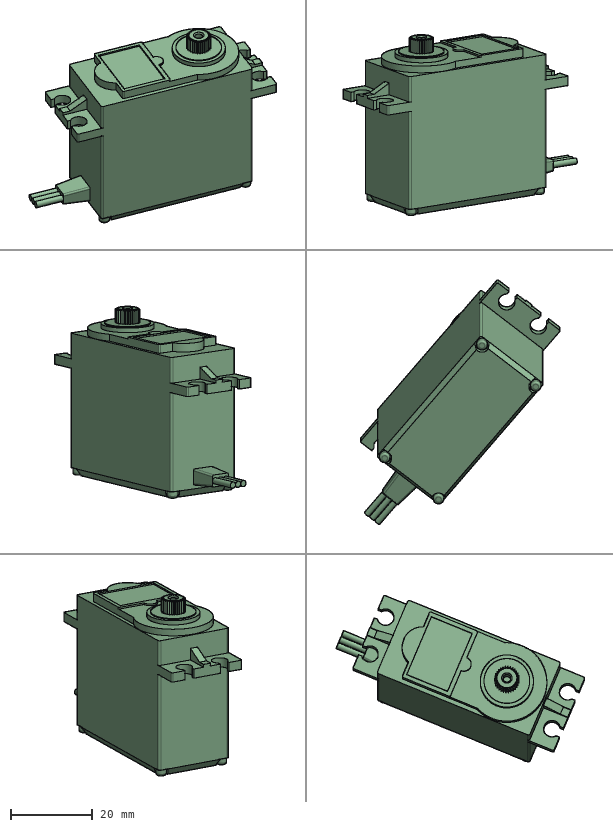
import cadquery as cq
import math

case_bottom = 1.75
case_top = 35.25
cover_top = 36.95
panel_top = 37.4
boss_top = 38.05
collar_top = 38.3
shaft_top = 41.8

case_width = 19.8
case_length = 40.45
case_corner_radius = 0.55

ear_span = 53.25
ear_bottom = 26.5
ear_top = 28.9
ear_corner_radius = 0.35
mount_hole_diameter = 4.1
mount_hole_pitch = 10.0
mount_hole_span = 48.3
mount_slot_width = 2.5
rib_width = 2.0
rib_flat_top = 29.6
rib_peak = 31.85
rib_flat_length = 1.95

output_y = 10.1
cover_radius = 9.8
cover_width = 17.7
panel_front = -14.05
panel_back = -1.3
panel_corner_radius = 0.35
panel_tab_radius = 1.75
motor_radius = 5.05
motor_y = -12.2
window_width = 15.6
window_length = 10.8
window_y = -7.8
window_depth = 0.35

boss_diameter = 13.0
collar_diameter = 11.2
spline_diameter = 6.0
spline_root_diameter = 4.85
tooth_count = 30
spline_chamfer_height = 0.3
screw_hole_diameter = 1.9
screw_hole_mouth = 2.55
screw_hole_depth = 3.05

plate_inset = 1.05
screw_clearance_diameter = 3.4
screw_head_diameter = 2.6
screw_head_round = 0.6
screw_pitch_x = 16.95
screw_pitch_y = 37.7

cable_z = 4.7
boot_root_width = 6.0
boot_root_height = 4.1
boot_tip_width = 4.9
boot_tip_height = 3.0
boot_length = 6.9
boot_edge_radius = 0.4
wire_diameter = 1.6
wire_pitch = 1.65
wire_end_y = -34.2


def block(width, length, bottom, top, y=0):
    """Upright box centred on X = 0 and the given Y."""
    return cq.Workplane("XY", origin=(0, y, bottom)).rect(width, length).extrude(top - bottom)


def disc(diameter, bottom, top, x=0, y=0):
    """Upright cylinder."""
    return cq.Workplane("XY", origin=(x, y, bottom)).circle(diameter / 2).extrude(top - bottom)


def make_case():
    """Main box with rounded upright edges."""
    return block(case_width, case_length, case_bottom, case_top).edges("|Z").fillet(case_corner_radius)


def make_ears():
    """Mounting plate through the case, with four open-ended screw holes."""
    ears = block(case_width, ear_span, ear_bottom, ear_top).edges("|Z").fillet(ear_corner_radius)
    slot_length = (ear_span - mount_hole_span) / 2
    for side in (-1, 1):
        for end in (-1, 1):
            x = side * mount_hole_pitch / 2
            y = end * mount_hole_span / 2
            ears = ears.cut(disc(mount_hole_diameter, ear_bottom, ear_top, x, y))
            slot = block(mount_slot_width, slot_length, ear_bottom, ear_top, y + end * slot_length / 2)
            ears = ears.cut(slot.translate((x, 0, 0)))
    return ears


def make_ribs():
    """Sloped stiffening ribs on both ears, made as one profile through the case."""
    ear_end = ear_span / 2
    case_end = case_length / 2
    slope_end = ear_end - rib_flat_length
    return (
        cq.Workplane("YZ", origin=(-rib_width / 2, 0, 0))
        .moveTo(-ear_end, ear_top)
        .lineTo(-ear_end, rib_flat_top)
        .lineTo(-slope_end, rib_flat_top)
        .lineTo(-case_end, rib_peak)
        .lineTo(case_end, rib_peak)
        .lineTo(slope_end, rib_flat_top)
        .lineTo(ear_end, rib_flat_top)
        .lineTo(ear_end, ear_top)
        .close()
        .extrude(rib_width)
    )


def make_cover():
    """Low gear cover with the raised panel and its shallow window."""
    panel_middle = (panel_front + panel_back) / 2
    cover = disc(2 * cover_radius, case_top, cover_top, y=output_y)
    deck_length = output_y - panel_middle
    deck_middle = (output_y + panel_middle) / 2
    cover = cover.union(block(cover_width, deck_length, case_top, cover_top, deck_middle))
    panel = block(cover_width, panel_back - panel_front, case_top, panel_top, panel_middle)
    panel = panel.edges("|Z").fillet(panel_corner_radius)
    panel = panel.union(disc(2 * motor_radius, case_top, panel_top, y=motor_y))
    panel = panel.union(disc(2 * panel_tab_radius, case_top, panel_top, y=panel_back))
    window = block(window_width, window_length, panel_top - window_depth, panel_top, window_y)
    return cover.union(panel).cut(window)


def make_output():
    """Stepped boss carrying the splined shaft."""
    boss = disc(boss_diameter, cover_top, boss_top, y=output_y)
    collar = disc(collar_diameter, boss_top, collar_top, y=output_y)
    points = []
    for i in range(2 * tooth_count):
        radius = (spline_diameter if i % 2 == 0 else spline_root_diameter) / 2
        angle = math.pi / 2 + math.pi * i / tooth_count
        points.append((radius * math.cos(angle), radius * math.sin(angle)))
    spline = (
        cq.Workplane("XY", origin=(0, output_y, collar_top))
        .polyline(points)
        .close()
        .extrude(shaft_top - collar_top)
    )
    tooth_height = (spline_diameter - spline_root_diameter) / 2
    envelope = disc(spline_diameter, collar_top, shaft_top, y=output_y)
    envelope = envelope.faces(">Z").chamfer(spline_chamfer_height, tooth_height)
    spline = spline.intersect(envelope)
    hole_radius = screw_hole_diameter / 2
    mouth_radius = screw_hole_mouth / 2
    hole = (
        cq.Workplane("XZ", origin=(0, output_y, 0))
        .moveTo(0, shaft_top)
        .lineTo(mouth_radius, shaft_top)
        .lineTo(hole_radius, shaft_top - (mouth_radius - hole_radius))
        .lineTo(hole_radius, shaft_top - screw_hole_depth)
        .lineTo(0, shaft_top - screw_hole_depth)
        .close()
        .revolve(360, (0, 0, 0), (0, 1, 0))
    )
    return boss.union(collar).union(spline).cut(hole)


def make_base():
    """Tapered bottom plate, cleared around four rounded screw heads."""
    taper = math.degrees(math.atan2(plate_inset, case_bottom))
    plate = (
        cq.Workplane("XY", origin=(0, 0, case_bottom))
        .rect(case_width, case_length)
        .extrude(-case_bottom, taper=taper)
    )
    for x in (-screw_pitch_x / 2, screw_pitch_x / 2):
        for y in (-screw_pitch_y / 2, screw_pitch_y / 2):
            corner_x = math.copysign(case_width / 2, x)
            corner_y = math.copysign(case_length / 2, y)
            corner = cq.Workplane("XY").rect(corner_x - x, corner_y - y).extrude(case_bottom)
            corner = corner.translate(((x + corner_x) / 2, (y + corner_y) / 2, 0))
            clearance = disc(screw_clearance_diameter, 0, case_bottom, x, y)
            plate = plate.cut(clearance).cut(corner)
            head = disc(screw_head_diameter, 0, case_bottom, x, y)
            plate = plate.union(head.faces("<Z").edges().fillet(screw_head_round))
    return plate


def make_cable():
    """Tapered strain-relief boot with three wires."""
    boot = (
        cq.Workplane("XZ", origin=(0, -case_length / 2, cable_z))
        .rect(boot_root_width, boot_root_height)
        .workplane(offset=boot_length)
        .rect(boot_tip_width, boot_tip_height)
        .loft(ruled=True)
    )
    boot = boot.edges("not(|X or |Z)").fillet(boot_edge_radius)
    boot_end_y = -case_length / 2 - boot_length
    for i in (-1, 0, 1):
        wire = (
            cq.Workplane("XZ", origin=(i * wire_pitch, boot_end_y, cable_z))
            .circle(wire_diameter / 2)
            .extrude(boot_end_y - wire_end_y)
        )
        boot = boot.union(wire)
    return boot


result = make_case()
for piece in (make_ears(), make_ribs(), make_cover(), make_output(), make_base(), make_cable()):
    result = result.union(piece)